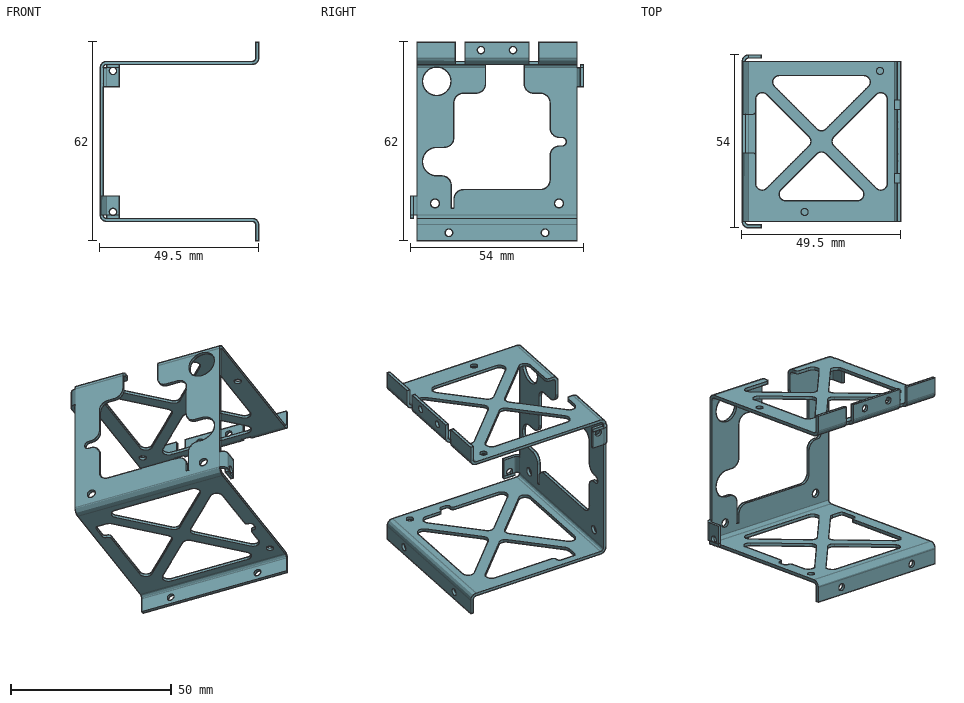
import cadquery as cq
thickness = 1.0
inner_bend = 1.0
outer_bend = inner_bend + thickness

depth = 49.5
width = 50.0
channel_height = 50.0
total_height = 62.0
half_width = width / 2
half_channel = channel_height / 2
half_total = total_height / 2
cut_depth = 2 * thickness + outer_bend

flange_hole_z = 28.5
slot_near_y = 10.0
slot_far_y = 13.0
top_flange_hole_d = 2.2
top_flange_hole_y = 5.0
bottom_flange_hole_d = 2.3
bottom_flange_hole_y = 15.0

plate_centre_x = depth / 2
window_reach = 20.5
short_window_reach = 18.5
window_apex = 2.5
window_corner = 2.0
plate_hole_d = 2.2
plate_hole_x = 43.0
plate_hole_y = 22.0
top_hole_x = 19.5
window_edge_x = plate_centre_x - window_reach

notch_depth = 2.1
notch_corner = 1.0
front_notch_start = 28.5
front_notch_end = 32.0
back_notch_start = 9.5
back_notch_end = 16.0

opening_size = 30.0
opening_centre_y = 1.55
opening_left_y = opening_centre_y + opening_size / 2
opening_right_y = opening_centre_y - opening_size / 2
opening_half_z = opening_size / 2
opening_corner = 3.0
channel_width = 12.0
channel_centre_y = 2.45
tongue_corner = 1.0
side_slot_width = 2.6
side_slot_z = -0.1
side_slot_tip_y = 21.6
lobe_d = 8.8
lobe_y = -18.8
lobe_z = -6.3
relief_width = 0.8
relief_bottom_z = -20.8

cable_hole_d = 8.8
cable_hole_y = -18.8
cable_hole_z = 18.75
wall_hole_d = 2.7
wall_hole_y = 19.35
wall_hole_z = -19.35

tab_reach_y = 27.0
tab_length = 6.0
tab_bottom_z = 17.0
tab_top_z = half_channel - outer_bend
tab_hole_d = 2.2
tab_hole_z = 22.0
plate_inner_z = half_channel - thickness


def bent_sheet():
    """Wall, two plates and two outward flanges, as one constant section along Y."""
    flange_inner_x = depth - thickness
    upper_half = (
        cq.Workplane("XZ")
        .moveTo(0, 0)
        .lineTo(0, half_channel - outer_bend)
        .radiusArc((outer_bend, half_channel), outer_bend)
        .lineTo(flange_inner_x - inner_bend, half_channel)
        .radiusArc((flange_inner_x, half_channel + inner_bend), -inner_bend)
        .lineTo(flange_inner_x, half_total)
        .lineTo(depth, half_total)
        .lineTo(depth, half_channel + inner_bend)
        .radiusArc((depth - outer_bend, plate_inner_z), outer_bend)
        .lineTo(outer_bend, plate_inner_z)
        .radiusArc((thickness, half_channel - outer_bend), -inner_bend)
        .lineTo(thickness, 0)
        .close()
        .extrude(half_width, both=True)
    )
    return upper_half.union(upper_half.mirror("XY"))


def tab_blank():
    """Upper tab: bent from the +Y edge of the wall to point along +X."""
    hole_x = (outer_bend + tab_length) / 2
    bend_start_y = tab_reach_y - outer_bend
    blank = (
        cq.Workplane("XY", origin=(0, 0, tab_bottom_z))
        .moveTo(0, bend_start_y)
        .radiusArc((outer_bend, tab_reach_y), outer_bend)
        .lineTo(tab_length, tab_reach_y)
        .lineTo(tab_length, tab_reach_y - thickness)
        .lineTo(outer_bend, tab_reach_y - thickness)
        .radiusArc((thickness, bend_start_y), -inner_bend)
        .close()
        .extrude(tab_top_z - tab_bottom_z)
    )
    hole = (
        cq.Workplane("XZ", origin=(hole_x, tab_reach_y, tab_hole_z))
        .circle(tab_hole_d / 2)
        .extrude(cut_depth, both=True)
    )
    return blank.cut(hole)


def edge_strip():
    """Strip that carries on the flat part of the upper tab, up to the plate's level."""
    return cq.Workplane("XY").box(
        tab_length - outer_bend, thickness, plate_inner_z - tab_top_z, centered=False
    ).translate((outer_bend, tab_reach_y - thickness, tab_top_z))


def turned_over(body):
    """The same body turned half a turn about the X axis."""
    return body.rotate((0, 0, 0), (1, 0, 0), 180)


def wall_cutter(plan):
    """Extrude a Y-Z outline through the wall and its bends."""
    return plan.extrude(cut_depth, both=True)


def wall_plane():
    return cq.Workplane("YZ")


def wall_box(y_low, y_high, z_low, z_high):
    """Block through the wall between the given Y and Z limits."""
    return wall_cutter(
        wall_plane()
        .center((y_low + y_high) / 2, (z_low + z_high) / 2)
        .rect(y_high - y_low, z_high - z_low)
    )


def inside_corner(y, z, y_side, z_side):
    """Cutter that rounds a corner of sheet at (y, z); the sheet lies towards the sides given."""
    r = opening_corner
    return wall_cutter(
        wall_plane()
        .moveTo(y, z)
        .lineTo(y + y_side * r, z)
        .radiusArc((y, z + z_side * r), y_side * z_side * r)
        .close()
    )


def wall_opening():
    """Large window in the wall with its channel, side slot, lobe and relief slit."""
    channel_left_y = channel_centre_y + channel_width / 2
    channel_right_y = channel_centre_y - channel_width / 2
    relief_right_y = opening_right_y - relief_width
    slot_r = side_slot_width / 2
    slot_end_y = side_slot_tip_y - slot_r
    lobe_r = lobe_d / 2

    window = wall_box(opening_right_y, opening_left_y, -opening_half_z, opening_half_z)
    window = window.edges("|X").edges(">Y or >Z").fillet(opening_corner)

    channel = wall_box(channel_right_y, channel_left_y, 0, half_channel - outer_bend)
    side_slot = wall_box(0, slot_end_y, side_slot_z - slot_r, side_slot_z + slot_r)
    side_slot = side_slot.union(wall_cutter(wall_plane().center(slot_end_y, side_slot_z).circle(slot_r)))
    lobe = wall_box(lobe_y, 0, lobe_z - lobe_r, lobe_z + lobe_r)
    lobe = lobe.union(wall_cutter(wall_plane().center(lobe_y, lobe_z).circle(lobe_r)))
    relief = wall_box(relief_right_y, opening_right_y, relief_bottom_z, lobe_z)

    cutter = window.union(channel).union(side_slot).union(lobe).union(relief)
    sheet_corners = [
        (channel_left_y, opening_half_z, 1, 1),
        (channel_right_y, opening_half_z, -1, 1),
        (opening_left_y, side_slot_z + slot_r, 1, 1),
        (opening_left_y, side_slot_z - slot_r, 1, -1),
        (opening_right_y, lobe_z + lobe_r, -1, 1),
        (relief_right_y, lobe_z - lobe_r, -1, -1),
        (opening_right_y, -opening_half_z, 1, -1),
    ]
    for corner in sheet_corners:
        cutter = cutter.union(inside_corner(*corner))
    return cutter


def wall_holes():
    """Cable hole and two fixing holes in the wall."""
    cable = wall_cutter(wall_plane().center(cable_hole_y, cable_hole_z).circle(cable_hole_d / 2))
    fixing = wall_cutter(
        wall_plane()
        .pushPoints([(wall_hole_y, wall_hole_z), (-wall_hole_y, wall_hole_z)])
        .circle(wall_hole_d / 2)
    )
    return cable.union(fixing)


def triangle_window(reach, turn):
    """Rounded triangle between two diagonal ribs, its base facing the turned +X direction."""
    half_base = reach - window_apex
    return (
        cq.Workplane("XY")
        .polyline([(window_apex, 0), (reach, half_base), (reach, -half_base)])
        .close()
        .extrude(cut_depth, both=True)
        .edges("|Z")
        .fillet(window_corner)
        .rotate((0, 0, 0), (0, 0, 1), turn)
        .translate((plate_centre_x, 0, half_channel))
    )


def plate_windows(reaches):
    """Four triangular windows, base distances listed counter-clockwise from +X."""
    windows = triangle_window(reaches[0], 0)
    for step, reach in enumerate(reaches[1:], start=1):
        windows = windows.union(triangle_window(reach, 90 * step))
    return windows


def plate_hole(x, y, plate_z):
    return (
        cq.Workplane("XY", origin=(x, y, plate_z))
        .circle(plate_hole_d / 2)
        .extrude(cut_depth, both=True)
    )


def base_notch(start_x, end_x, flared_ends):
    """Recess in the +Y base of a bottom window, with rounded floor corners and flared mouth ends."""
    r = notch_corner
    mouth_y = window_reach
    root_y = mouth_y - window_corner
    floor_y = mouth_y + notch_depth
    plane = cq.Workplane("XY", origin=(0, 0, -half_channel))
    cutter = (
        plane.center((start_x + end_x) / 2, (root_y + floor_y) / 2)
        .rect(end_x - start_x, floor_y - root_y)
        .extrude(cut_depth, both=True)
        .edges("|Z and >Y")
        .fillet(r)
    )
    for end, outward in flared_ends:
        flare = (
            plane.moveTo(end, mouth_y)
            .lineTo(end + outward * r, mouth_y)
            .radiusArc((end, mouth_y + r), outward * r)
            .close()
            .extrude(cut_depth, both=True)
        )
        cutter = cutter.union(flare)
    return cutter


def base_notches():
    """Notch in the +Y window, which starts at that window's corner, and notch in the -Y window."""
    back = base_notch(back_notch_start, back_notch_end, [(back_notch_end, 1)])
    front_ends = [(front_notch_start, -1), (front_notch_end, 1)]
    front = base_notch(front_notch_start, front_notch_end, front_ends)
    return back.union(front.mirror("XZ"))


def channel_exit():
    """Carries the wall's channel through the bend and top plate into the nearest window."""
    return (
        cq.Workplane("XY", origin=(window_edge_x / 2, channel_centre_y, half_channel))
        .rect(window_edge_x, channel_width)
        .extrude(cut_depth, both=True)
    )


def flange_slots():
    """Two slots that part the top flange into three lugs."""
    slot_width = slot_far_y - slot_near_y
    slot_start_x = depth - outer_bend
    slot = cq.Workplane("XY").box(outer_bend, slot_width, half_total, centered=False)
    cutter = slot.translate((slot_start_x, slot_near_y, plate_inner_z))
    return cutter.union(cutter.mirror("XZ"))


def flange_holes(diameter, y, z):
    return (
        cq.Workplane("YZ", origin=(depth, 0, 0))
        .pushPoints([(y, z), (-y, z)])
        .circle(diameter / 2)
        .extrude(cut_depth, both=True)
    )


def round_tongue_corners(body):
    """Round the two corners where the channel opens into the window of the top plate."""
    for side in (1, -1):
        corner_y = channel_centre_y + side * channel_width / 2
        near_corner = cq.selectors.BoxSelector(
            (window_edge_x - tongue_corner, corner_y - tongue_corner, plate_inner_z - thickness),
            (window_edge_x + tongue_corner, corner_y + tongue_corner, half_channel + thickness),
        )
        body = body.edges("|Z").edges(near_corner).fillet(tongue_corner)
    return body


def make_bracket():
    top_reaches = [window_reach, window_reach, window_reach, short_window_reach]
    bottom_reaches = [window_reach] * 4
    body = bent_sheet()
    body = body.union(tab_blank()).union(turned_over(tab_blank()))
    body = body.cut(wall_opening()).cut(wall_holes())
    body = body.cut(plate_windows(top_reaches)).cut(turned_over(plate_windows(bottom_reaches)))
    body = body.cut(base_notches())
    body = body.cut(plate_hole(plate_hole_x, plate_hole_y, half_channel))
    body = body.cut(plate_hole(top_hole_x, -plate_hole_y, half_channel))
    body = body.cut(plate_hole(plate_hole_x, -plate_hole_y, -half_channel))
    body = round_tongue_corners(body.cut(channel_exit()))
    body = body.cut(flange_slots())
    body = body.cut(flange_holes(top_flange_hole_d, top_flange_hole_y, flange_hole_z))
    return body.cut(flange_holes(bottom_flange_hole_d, bottom_flange_hole_y, -flange_hole_z))


bracket = make_bracket()
strips = [edge_strip(), turned_over(edge_strip())]
result = cq.Compound.makeCompound([bracket.val(), *[strip.val() for strip in strips]])